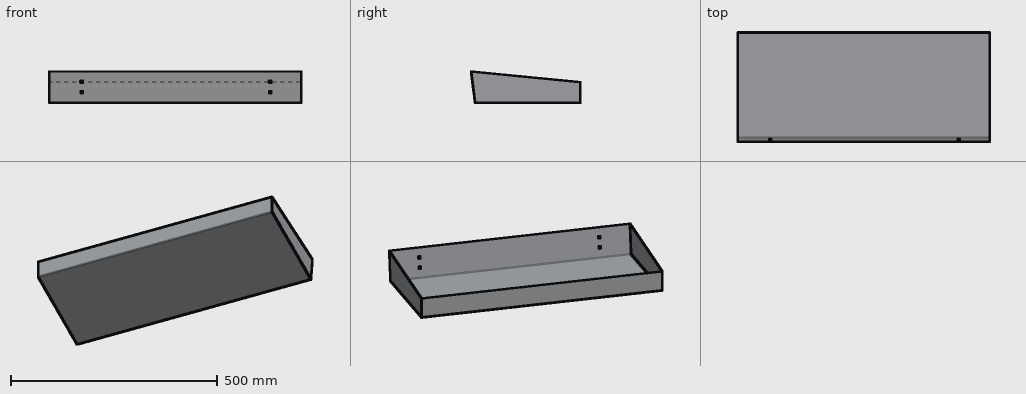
import cadquery as cq
import math

length = 613.0
depth = 266.5
height = 76.5
sheet = 1.55

back_height = 51.0
front_lean = 10.0
inner_bend = 0.9
outer_bend = inner_bend + sheet

hole_diameter = 6.0
hole_spacing = 457.0
hole_offset = 1.55
hole_heights = (26.5, 51.5)

pan_length = length - 2 * sheet
front_top_y = -depth / 2
back_y = depth / 2
back_inner_y = back_y - sheet
front_angle = math.atan2(front_lean, height)

front_top_z = height - sheet * math.sin(front_angle)
rim_front_y = front_top_y + sheet * math.cos(front_angle)


def front_inner_y(z):
    """Y of the inner face of the leaning front wall at height z."""
    return rim_front_y + (height - z) * math.tan(front_angle)


front_foot_y = front_top_y + front_top_z * math.tan(front_angle)


def make_pan():
    """Floor, back wall and leaning front wall folded from one sheet."""
    profile = [
        (front_foot_y, 0),
        (back_y, 0),
        (back_y, back_height),
        (back_inner_y, back_height),
        (back_inner_y, sheet),
        (front_inner_y(sheet), sheet),
        (rim_front_y, height),
        (front_top_y, front_top_z),
    ]
    pan = cq.Workplane("YZ").polyline(profile).close().extrude(pan_length / 2, both=True)

    folds = [
        (front_foot_y, 0, outer_bend),
        (back_y, 0, outer_bend),
        (front_inner_y(sheet), sheet, inner_bend),
        (back_inner_y, sheet, inner_bend),
    ]
    for y, z, radius in folds:
        pan = pan.edges(cq.selectors.NearestToPointSelector((0, y, z))).fillet(radius)
    return pan.cut(make_hole_cutters())


def make_hole_cutters():
    """Drills square to the front wall, in two columns."""
    cutters = cq.Workplane("XY")
    drill_direction = cq.Vector(0, math.cos(front_angle), math.sin(front_angle))
    drill_length = 2 * hole_diameter
    for side in (-1, 1):
        for z in hole_heights:
            centre = cq.Vector(hole_offset + side * hole_spacing / 2, front_inner_y(z), z)
            start = centre - drill_direction * (drill_length / 2)
            drill = cq.Solid.makeCylinder(hole_diameter / 2, drill_length, start, drill_direction)
            cutters = cutters.add(drill)
    return cutters.combine()


def make_end_plate(start_x):
    """End plate whose outline is the inside of the pan, standing just beyond the pan's end."""
    outline = [
        (front_inner_y(sheet), sheet),
        (back_inner_y, sheet),
        (back_inner_y, back_height),
        (rim_front_y, height),
    ]
    plate = cq.Workplane("YZ").polyline(outline).close().extrude(sheet)
    return plate.translate((start_x, 0, 0))


pan = make_pan()
end_plates = [make_end_plate(x) for x in (-length / 2, pan_length / 2)]

result = cq.Compound.makeCompound([pan.val(), *[plate.val() for plate in end_plates]])